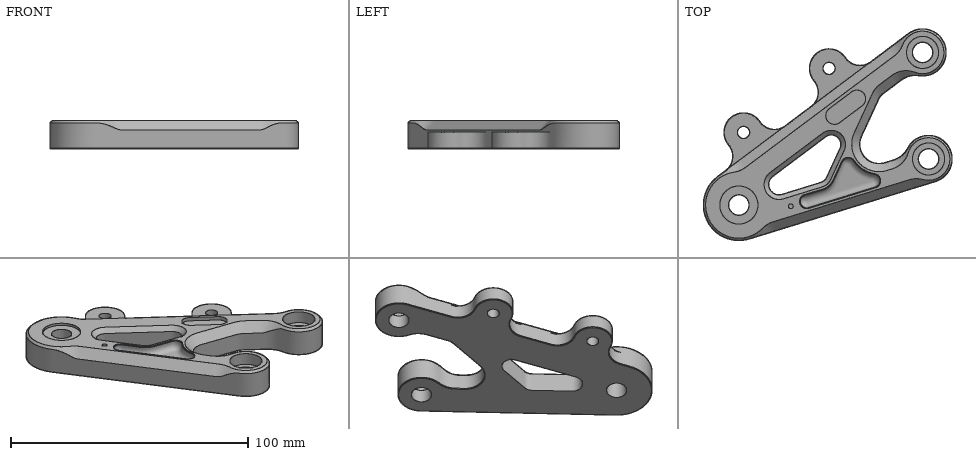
import cadquery as cq
import math

thickness = 12.0
chamfer_depth = 4.0
shoulder_height = thickness - chamfer_depth
lug_height = 7.0
bottom_break = 0.3

pivot_radius = 15.0
arm_boss_radius = 10.0
boss_chamfer = 1.0
upper_boss = (77.5, 64.3)
lower_boss = (80.0, 19.4)
bore_diameter = 8.5
pivot_recess_diameter = 16.1
pivot_recess_depth = 1.0
arm_recess_diameter = 13.5
arm_recess_depth = 5.0

beam_width = 14.0
web_angle = 65.2
web_offset = 34.8
throat_chamfer_run = 3.5
boss_blend = 10.0
throat_radius = 11.5
knee_radius = 10.0

lug_radius = 8.3
lug_positions = (19.9, 65.0)
lug_blend = 7.5
lug_hole_diameter = 5.0

window_corner = 4.0
window_narrow_corner = 4.3
window_chamfer = 2.0
window_web_offset = 28.7

pocket_rim = 1.0
pocket_break = 0.3
ball_radius = 2.7
pocket_depth = 4.0
pocket_floor_fillet = 2.6
pocket_start = 27.8

slot_start = (40.3, 37.7)
slot_travel = 11.9
slot_radius = 3.7
slot_depth = 1.6
dimple = (21.9, -0.5)
dimple_diameter = 2.0
dimple_depth = 2.0


def tangent_angle(boss):
    """Angle that the common tangent of the pivot and an arm boss makes with their centre line."""
    return math.degrees(math.asin((pivot_radius - arm_boss_radius) / math.hypot(*boss)))


def heading(point):
    return math.degrees(math.atan2(point[1], point[0]))


upper_angle = heading(upper_boss) - tangent_angle(upper_boss)
lower_angle = heading(lower_boss) + tangent_angle(lower_boss)


def unit(angle):
    return (math.cos(math.radians(angle)), math.sin(math.radians(angle)))


def along(point, angle, length):
    ux, uy = unit(angle)
    return (point[0] + length * ux, point[1] + length * uy)


def on_line(line, travel):
    angle, offset = line
    return along(along((0, 0), angle, travel), angle - 90, offset)


def shifted(line, distance):
    return (line[0], line[1] + distance)


def line_crossing(a, b):
    turn = math.radians(b[0] - a[0])
    return on_line(a, (b[1] - a[1] * math.cos(turn)) / math.sin(turn))


def circle_crossing(line, centre, radius, side):
    """Crossing of a line and a circle; side is -1 for the first along the line, 1 for the last."""
    ux, uy = unit(line[0])
    travel = centre[0] * ux + centre[1] * uy
    gap = line[1] - (centre[0] * uy - centre[1] * ux)
    return on_line(line, travel + side * math.sqrt(max(0, radius**2 - gap**2)))


def is_line(element):
    return not isinstance(element[0], tuple)


def blend_centre(a, b, radius):
    """Centre of the concave blend from element a to element b."""
    if is_line(a) and is_line(b):
        return line_crossing(shifted(a, radius), shifted(b, radius))
    line, circle, side = (a, b, -1) if is_line(a) else (b, a, 1)
    return circle_crossing(shifted(line, radius), circle[0], circle[1] + radius, side)


def touch_point(element, centre, radius):
    if is_line(element):
        return along(centre, element[0] + 90, radius)
    (x, y), _ = element
    return along(element[0], heading((centre[0] - x, centre[1] - y)), element[1])


def arc_middle(centre, radius, start, end, turn):
    """Middle of the arc from start to end; turn is 1 for counter-clockwise, -1 for clockwise."""
    a = heading((start[0] - centre[0], start[1] - centre[1]))
    b = heading((end[0] - centre[0], end[1] - centre[1]))
    return along(centre, a + turn * ((b - a) * turn % 360) / 2, radius)


def blended_outline(elements, blends):
    """Closed outline through the elements; blends[i] is the radius between element i and the next."""
    following = elements[1:] + elements[:1]
    joints = []
    for a, b, radius in zip(elements, following, blends):
        centre = blend_centre(a, b, radius)
        joints.append((touch_point(a, centre, radius), centre, touch_point(b, centre, radius)))
    start = joints[-1][2]
    path = cq.Workplane("XY").moveTo(*start)
    for element, (leave, centre, arrive), radius in zip(elements, joints, blends):
        if is_line(element):
            path = path.lineTo(*leave)
        else:
            path = path.threePointArc(arc_middle(*element, start, leave, 1), leave)
        if radius > 0:
            path = path.threePointArc(arc_middle(centre, radius, leave, arrive, -1), arrive)
        start = arrive
    return path.close()


lower_edge = (lower_angle, pivot_radius)
lower_beam_inside = (lower_angle + 180, beam_width - pivot_radius)
web_edge = (web_angle, web_offset)
upper_beam_inside = (upper_angle, beam_width - pivot_radius)
upper_edge = (upper_angle + 180, pivot_radius)


def frame_elements(line_shift, circle_shift):
    """Lines and circles round the frame, moved outward; the lines by the throat move less."""
    pivot = ((0, 0), pivot_radius + circle_shift)
    lower_end = (lower_boss, arm_boss_radius + circle_shift)
    upper_end = (upper_boss, arm_boss_radius + circle_shift)
    throat_shift = line_shift * throat_chamfer_run / chamfer_depth
    low, up_in, up = (shifted(line, line_shift) for line in (lower_edge, upper_beam_inside, upper_edge))
    low_in, web = (shifted(line, throat_shift) for line in (lower_beam_inside, web_edge))
    return [pivot, low, lower_end, low_in, web, up_in, upper_end, up]


throat_wall = throat_radius - throat_chamfer_run
knee_wall = knee_radius - chamfer_depth
inside_blends = [boss_blend, throat_wall, knee_wall, boss_blend]


def straight_frame(height):
    """Frame with upright walls, its outer edges tangent to the bosses."""
    return blended_outline(frame_elements(0, 0), [0, 0] + inside_blends + [0, 0]).extrude(height)


def top_outline(spread):
    """Rim of the top face, moved outward by spread."""
    boss = boss_blend - spread
    throat = throat_radius - spread * throat_chamfer_run / chamfer_depth
    blends = [boss, boss, boss, throat, knee_radius - spread, boss, boss, boss]
    elements = frame_elements(spread - chamfer_depth, spread - boss_chamfer)
    return blended_outline(elements, blends)


def tapered_top():
    """Frame top whose edges lean inward; round the bosses its foot is wider than the walls."""
    wires = [
        top_outline(spread).val().translate(cq.Vector(0, 0, thickness - spread))
        for spread in (chamfer_depth, 0)
    ]
    return cq.Workplane(cq.Solid.makeLoft(wires, True))


def lug_centre(position):
    """Centre of a lug that touches the upper edge at the given distance from the pivot."""
    return on_line(shifted(upper_edge, lug_radius), -position)


def lugs():
    """Low plate under the whole frame that carries the lugs along the upper edge."""
    elements = frame_elements(0, 0)
    blends = [0, 0] + inside_blends + [0]
    for position in reversed(lug_positions):
        elements += [(lug_centre(position), lug_radius), upper_edge]
        blends += [lug_blend, lug_blend]
    return blended_outline(elements, blends + [0]).extrude(lug_height)


chamfered_top = straight_frame(thickness).intersect(tapered_top())
result = straight_frame(shoulder_height).union(chamfered_top).union(lugs())
result = result.faces("<Z").chamfer(bottom_break)


def drill(part, points, diameter, depth):
    cutter = cq.Workplane("XY", origin=(0, 0, thickness)).pushPoints(points).circle(diameter / 2)
    return part.cut(cutter.extrude(-depth))


lug_centres = [lug_centre(position) for position in lug_positions]
result = drill(result, [(0, 0), upper_boss, lower_boss], bore_diameter, thickness)
result = drill(result, [(0, 0)], pivot_recess_diameter, pivot_recess_depth)
result = drill(result, [upper_boss, lower_boss], arm_recess_diameter, arm_recess_depth)
result = drill(result, lug_centres, lug_hole_diameter, thickness)
result = drill(result, [dimple], dimple_diameter, dimple_depth)

window_upper = (upper_angle + 180, pivot_radius - beam_width)
window_web = (web_angle, window_web_offset)
window_lower = (lower_angle, pivot_radius - beam_width)


def window_prism(growth):
    """Window-shaped prism under the top face, all its walls moved outward by growth."""
    lower, web, upper = (shifted(line, growth) for line in (window_lower, window_web, window_upper))
    corners = [line_crossing(lower, web), line_crossing(web, upper), line_crossing(upper, lower)]
    prism = cq.Workplane("XY", origin=(0, 0, thickness)).polyline(corners).close().extrude(-thickness)
    prism = prism.edges("|Z").edges("not <X").fillet(window_corner + growth)
    return prism.edges("|Z").edges("<X").fillet(window_narrow_corner + growth)


def window():
    mouth = window_prism(window_chamfer).translate((0, 0, thickness - window_chamfer))
    return window_prism(0).union(mouth.faces("<Z").chamfer(window_chamfer))


wall_inset = pocket_rim + pocket_break
path_lower = shifted(lower_edge, -chamfer_depth - wall_inset - ball_radius)
path_web = shifted(window_web, window_chamfer + wall_inset + ball_radius)
throat_rim = [shifted(line, -throat_chamfer_run) for line in (lower_beam_inside, web_edge)]
throat_centre = blend_centre(*throat_rim, throat_radius)
throat_path_radius = throat_radius + wall_inset + ball_radius
bend_centre = line_crossing(shifted(window_lower, -window_corner), shifted(window_web, -window_corner))
bend_path_radius = window_corner + window_chamfer + wall_inset + ball_radius
pocket_left = on_line(path_lower, pocket_start)
pocket_right = circle_crossing(path_lower, throat_centre, throat_path_radius, -1)
pocket_top = circle_crossing(path_web, throat_centre, throat_path_radius, -1)


def pocket_outline(reach, height):
    """Pocket wall at the given reach from the cutter path."""
    throat_reach = throat_path_radius - reach
    bend_reach = bend_path_radius - reach

    def toward_throat(point):
        return along(point, heading((throat_centre[0] - point[0], throat_centre[1] - point[1])), reach)

    start = along(pocket_left, lower_angle - 90, reach)
    arcs = [
        (pocket_right, reach, along(pocket_right, lower_angle - 90, reach), toward_throat(pocket_right), 1),
        (throat_centre, throat_reach, toward_throat(pocket_right), toward_throat(pocket_top), -1),
        (pocket_top, reach, toward_throat(pocket_top), along(pocket_top, web_angle + 90, reach), 1),
        (
            bend_centre,
            bend_reach,
            along(bend_centre, web_angle - 90, bend_reach),
            along(bend_centre, lower_angle - 90, bend_reach),
            -1,
        ),
        (pocket_left, reach, along(pocket_left, lower_angle + 90, reach), start, 1),
    ]
    path = cq.Workplane("XY", origin=(0, 0, height)).moveTo(*start)
    here = start
    for centre, radius, enter, leave, turn in arcs:
        if math.dist(here, enter) > 0:
            path = path.lineTo(*enter)
        path = path.threePointArc(arc_middle(centre, radius, enter, leave, turn), leave)
        here = leave
    return path.close()


def pocket():
    """Bowl with a rounded floor edge and a small chamfer round its mouth."""
    bowl = pocket_outline(ball_radius, thickness).extrude(-pocket_depth)
    bowl = bowl.faces("<Z").edges().fillet(pocket_floor_fillet)
    mouth = pocket_outline(ball_radius + pocket_break, thickness + pocket_break)
    mouth = mouth.extrude(-2 * pocket_break).faces("<Z").chamfer(pocket_break)
    return bowl.union(mouth)


def slot():
    middle = along(slot_start, upper_angle, slot_travel / 2)
    plane = cq.Workplane("XY", origin=(*middle, thickness))
    return plane.slot2D(slot_travel + 2 * slot_radius, 2 * slot_radius, upper_angle).extrude(-slot_depth)


result = result.cut(window()).cut(pocket()).cut(slot())